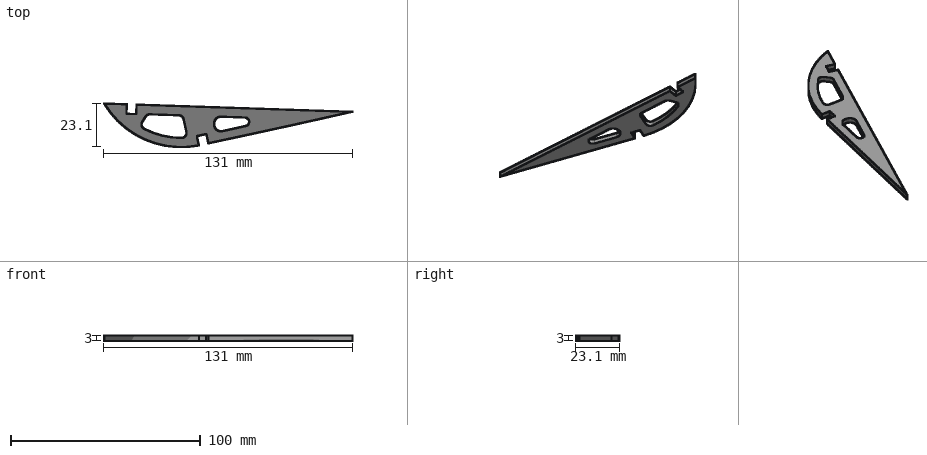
import cadquery as cq
import math

LENGTH = 130.95
DEPTH = 23.09
THICKNESS = 3.0
TAIL_DROP = 4.38

NOSE_RADIUS = 47.3
RIM = 5.0
TAIL_RIM = 4.8

SLOT_WIDTH = 5.0
SLOT_DEPTH = 5.0
TOP_SLOT_X = 14.55
BOTTOM_SLOT_X = 52.45

FRONT_CORNER_RADIUS = 2.5
TAIL_BAY_X = 58.1
TAIL_FRONT_RADIUS = 3.4
TAIL_END_RADIUS = 2.2

TAIL_CROWN_HEIGHT = 0.14
TAIL_CROWN_X = 102.8

ARC_Y = NOSE_RADIUS - DEPTH
ARC_X = math.sqrt(NOSE_RADIUS**2 - ARC_Y**2)
TAIL_DX = LENGTH - ARC_X
TAIL_DY = -TAIL_DROP - ARC_Y
TAIL_SLOPE = math.atan2(TAIL_DY, TAIL_DX) + math.asin(NOSE_RADIUS / math.hypot(TAIL_DX, TAIL_DY))
TOP_SLOPE = -math.atan2(TAIL_DROP, LENGTH)
TAIL_TIP = (LENGTH, -TAIL_DROP)

REGION_LENGTH = LENGTH
REGION_WIDTH = 3 * LENGTH

FUSE_TOLERANCE = 1e-3


def top_edge_point(x):
    return (x, x * math.tan(TOP_SLOPE))


def tail_edge_point(x):
    return (x, -TAIL_DROP - (LENGTH - x) * math.tan(TAIL_SLOPE))


def shifted(point, along, across, angle):
    """Move a point along and across (to the left of) a direction."""
    x = point[0] + along * math.cos(angle) - across * math.sin(angle)
    y = point[1] + along * math.sin(angle) + across * math.cos(angle)
    return (x, y)


TOP_SLOT_MOUTH = top_edge_point(TOP_SLOT_X)
BOTTOM_SLOT_MOUTH = tail_edge_point(BOTTOM_SLOT_X)


def outline(rim=0.0):
    """Plate of the rib profile, with its edges moved inward by the rim width."""
    arc_end = (ARC_X + NOSE_RADIUS * math.sin(TAIL_SLOPE), ARC_Y - NOSE_RADIUS * math.cos(TAIL_SLOPE))
    profile = (
        cq.Workplane("XY")
        .moveTo(0, 0)
        .threePointArc((ARC_X, -DEPTH), arc_end)
        .lineTo(*TAIL_TIP)
        .close()
    )
    if rim:
        profile = profile.offset2D(-rim)
    return profile.extrude(THICKNESS)


def region_ahead(point, angle):
    """Large block lying to the right of a line through a point, the line running at the angle."""
    return (
        cq.Workplane("XY")
        .box(REGION_LENGTH, REGION_WIDTH, THICKNESS, centered=(False, True, False))
        .rotate((0, 0, 0), (0, 0, 1), math.degrees(angle) - 90)
        .translate((point[0], point[1], 0))
    )


def slot(mouth, angle):
    """Square slot centred on a point of an edge that runs at the angle."""
    return (
        cq.Workplane("XY")
        .box(SLOT_WIDTH, 2 * SLOT_DEPTH, THICKNESS, centered=(True, True, False))
        .rotate((0, 0, 0), (0, 0, 1), math.degrees(angle))
        .translate((mouth[0], mouth[1], 0))
    )


def front_opening():
    """Opening between the two slots; its front side is radial to the nose arc."""
    slot_corner = shifted(TOP_SLOT_MOUTH, SLOT_WIDTH / 2, -SLOT_DEPTH, TOP_SLOPE)
    to_centre_x = ARC_X - slot_corner[0]
    to_centre_y = ARC_Y - slot_corner[1]
    to_centre = math.atan2(to_centre_y, to_centre_x)
    front_angle = to_centre + math.asin(RIM / math.hypot(to_centre_x, to_centre_y))
    front_point = shifted(slot_corner, 0, -RIM, front_angle)
    rear_angle = TAIL_SLOPE + math.pi / 2
    rear_point = shifted(BOTTOM_SLOT_MOUTH, -SLOT_WIDTH / 2 - RIM, 0, TAIL_SLOPE)
    bay = outline(RIM).intersect(region_ahead(front_point, front_angle))
    bay = bay.cut(region_ahead(rear_point, rear_angle))
    return bay.edges("|Z").fillet(FRONT_CORNER_RADIUS)


def tail_opening():
    """Tapered opening behind the bottom slot with a rounded front end."""
    top_point = shifted((0, 0), 0, -RIM, TOP_SLOPE)
    bay = outline(TAIL_RIM).intersect(region_ahead(top_point, TOP_SLOPE))
    bay = bay.intersect(region_ahead((TAIL_BAY_X, 0), math.pi / 2))
    bay = bay.edges("|Z and >X").fillet(TAIL_END_RADIUS)
    return bay.edges("|Z and <X").fillet(TAIL_FRONT_RADIUS)


def tail_crown():
    """Shallow smooth swelling on the tail edge face, its peak at mid thickness."""
    start = shifted(BOTTOM_SLOT_MOUTH, SLOT_WIDTH / 2, 0, TAIL_SLOPE)
    peak_point = shifted(tail_edge_point(TAIL_CROWN_X), 0, -TAIL_CROWN_HEIGHT, TAIL_SLOPE)
    peak = cq.Vector(*peak_point, THICKNESS / 2)
    corners = [
        cq.Vector(*start, 0),
        cq.Vector(*TAIL_TIP, 0),
        cq.Vector(*TAIL_TIP, THICKNESS),
        cq.Vector(*start, THICKNESS),
    ]
    border = cq.Wire.makePolygon(corners, close=True)
    dome = cq.Face.makeNSidedSurface(border.Edges(), [peak])
    base = cq.Face.makeFromWires(dome.outerWire())
    shell = cq.Shell.makeShell([base, dome])
    return cq.Workplane(cq.Solid.makeSolid(shell).fix())


result = (
    outline()
    .cut(slot(TOP_SLOT_MOUTH, TOP_SLOPE))
    .cut(slot(BOTTOM_SLOT_MOUTH, TAIL_SLOPE))
    .cut(front_opening())
    .cut(tail_opening())
    .union(tail_crown(), tol=FUSE_TOLERANCE)
)